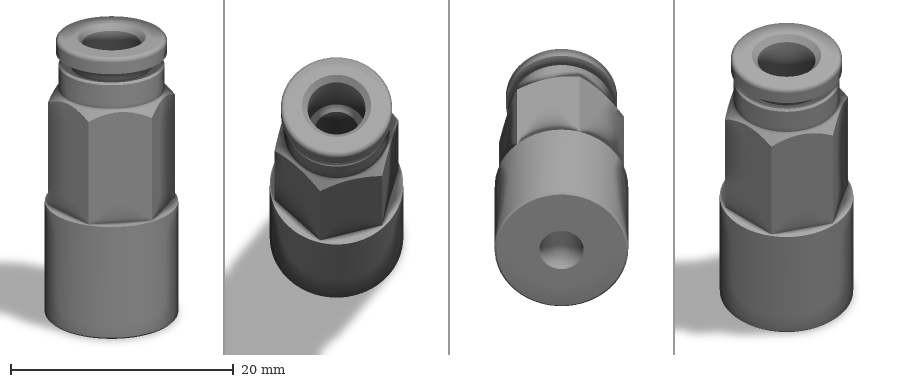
import cadquery as cq
import math

total_height = 27.0
base_height = 11.0
shoulder_height = 22.0
collar_top = 24.5

base_diameter = 12.0
base_chamfer = 0.2
hex_across_flats = 10.0
collar_diameter = 9.5
collar_chamfer = 0.2
recess_diameter = collar_diameter - 2 * collar_chamfer
recess_depth = 0.32
passage_diameter = 4.0

head_diameter = 10.0
head_height = 1.5
head_fillet = 0.4
neck_diameter = 7.3
sleeve_bore_diameter = 5.2
mouth_diameter = 6.2
mouth_depth = 0.55
sleeve_bottom = shoulder_height

seat_diameter = 5.1
seat_depth = 0.27


def cylinder(diameter, bottom, top):
    """Vertical cylinder on the Z axis between two levels."""
    return cq.Workplane("XY").workplane(offset=bottom).circle(diameter / 2).extrude(top - bottom)


def cone(bottom_diameter, top_diameter, bottom, top):
    """Vertical truncated cone on the Z axis between two levels."""
    solid = cq.Solid.makeCone(
        bottom_diameter / 2, top_diameter / 2, top - bottom, cq.Vector(0, 0, bottom)
    )
    return cq.Workplane(obj=solid)


def make_hexagon():
    """Hexagon with corners on the X axis, its upper corners cut by a 45 degree cone."""
    across_corners = hex_across_flats / math.cos(math.pi / 6)
    height = shoulder_height - base_height
    prism = cq.Workplane("XY").workplane(offset=base_height).polygon(6, across_corners).extrude(height)
    cone_base_diameter = collar_diameter + 2 * height
    return prism.intersect(cone(cone_base_diameter, collar_diameter, base_height, shoulder_height))


def make_body():
    """Round base, hexagon and recessed collar, with a through passage and a socket for the sleeve."""
    base = cylinder(base_diameter, 0, base_height).faces("<Z").chamfer(base_chamfer)
    collar = cylinder(collar_diameter, shoulder_height, collar_top).faces(">Z").chamfer(collar_chamfer)
    body = base.union(make_hexagon()).union(collar)
    passage = cylinder(passage_diameter, 0, collar_top)
    socket = cylinder(neck_diameter, sleeve_bottom, collar_top)
    recess = cylinder(recess_diameter, collar_top - recess_depth, collar_top)
    seat = cone(passage_diameter, seat_diameter, sleeve_bottom - seat_depth, sleeve_bottom)
    return body.cut(passage).cut(socket).cut(recess).cut(seat)


def make_sleeve():
    """Flanged release sleeve with a rounded head and a conical mouth."""
    head = cylinder(head_diameter, total_height - head_height, total_height)
    head = head.faces(">Z").edges().fillet(head_fillet)
    neck = cylinder(neck_diameter, sleeve_bottom, total_height - head_height)
    bore = cylinder(sleeve_bore_diameter, sleeve_bottom, total_height)
    mouth = cone(sleeve_bore_diameter, mouth_diameter, total_height - mouth_depth, total_height)
    return head.union(neck).cut(bore).cut(mouth)


body = make_body()
sleeve = make_sleeve()
result = cq.Compound.makeCompound([body.val(), sleeve.val()])